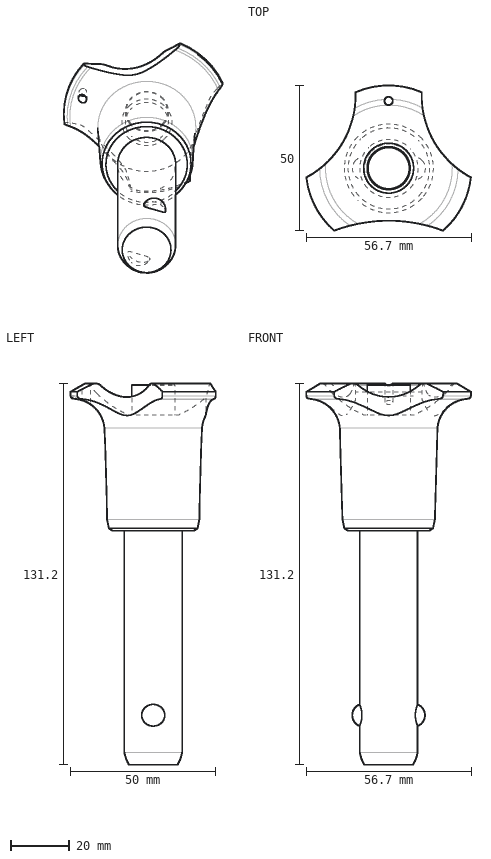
import cadquery as cq
import math

total_length = 131.2
handle_height = 50.7

shank_radius = 10.0
shank_length = total_length - handle_height
tip_radius = 8.4
tip_length = 4.3
tip_bulge = 0.25

ball_radius = 4.0
ball_reach = 12.55
ball_height_above_tip = 17.05

sleeve_bottom_radius = 14.0
sleeve_edge_radius = 15.3
sleeve_edge_height = 0.8
sleeve_foot_radius = 15.95
sleeve_foot_height = 4.0
sleeve_top_radius = 16.85
sleeve_top_depth = 15.2

flange_radius = 28.51
rim_upper_depth = 2.9
rim_lower_depth = 4.2
rim_round = 1.1
flare_end_radius = 26.5
flare_end_depth = 5.45
flare_mid_radius = 19.3
flare_mid_depth = 9.3

crest_outer_radius = 23.8
crest_outer_slope = 30.0
dish_edge_radius = 21.8
dish_edge_slope = 60.0
dish_floor_radius = 8.6
dish_floor_depth = 10.8
dish_mid_radius = 18.1
dish_mid_depth = 4.7
button_radius = 7.4
button_depth = 0.4
button_chamfer = 0.3

scallop_depth_radius = 18.1
side_scallop_direction = 30.0
side_scallop_half_angle = 36.4
front_scallop_direction = -90.0
front_scallop_half_angle = 41.0

hole_radius = 1.4
hole_offset = 23.1


def handle_z(depth):
    """Height of a point given its depth below the crest of the rim."""
    return handle_height - depth


def make_handle():
    outer_slope = math.radians(crest_outer_slope)
    dish_slope = math.radians(dish_edge_slope)
    crest_round = (crest_outer_radius - dish_edge_radius) / (math.sin(outer_slope) + math.sin(dish_slope))
    crest_top_radius = crest_outer_radius - crest_round * math.sin(outer_slope)
    crest_outer_depth = crest_round * (1 - math.cos(outer_slope))
    dish_edge_depth = crest_round * (1 - math.cos(dish_slope))

    profile = (
        cq.Workplane("XZ")
        .moveTo(0, 0)
        .lineTo(sleeve_bottom_radius, 0)
        .lineTo(sleeve_edge_radius, sleeve_edge_height)
        .lineTo(sleeve_foot_radius, sleeve_foot_height)
        .lineTo(sleeve_top_radius, handle_z(sleeve_top_depth))
        .threePointArc(
            (flare_mid_radius, handle_z(flare_mid_depth)),
            (flare_end_radius, handle_z(flare_end_depth)),
        )
        .lineTo(flange_radius - rim_round, handle_z(rim_lower_depth + rim_round))
        .radiusArc((flange_radius, handle_z(rim_lower_depth)), -rim_round)
        .lineTo(flange_radius, handle_z(rim_upper_depth))
        .lineTo(crest_outer_radius, handle_z(crest_outer_depth))
        .threePointArc((crest_top_radius, handle_height), (dish_edge_radius, handle_z(dish_edge_depth)))
        .threePointArc(
            (dish_mid_radius, handle_z(dish_mid_depth)),
            (dish_floor_radius, handle_z(dish_floor_depth)),
        )
        .lineTo(0, handle_z(dish_floor_depth))
        .close()
    )
    return profile.revolve(360, (0, 0, 0), (0, 1, 0))


def make_scallop_cutter(direction, half_angle):
    """Upright cylinder through both flange corners and the deepest point of the scallop."""
    half_chord = flange_radius * math.sin(math.radians(half_angle))
    sagitta = flange_radius * math.cos(math.radians(half_angle)) - scallop_depth_radius
    radius = (half_chord**2 + sagitta**2) / (2 * sagitta)
    cutter = cq.Workplane("XY").center(scallop_depth_radius + radius, 0).circle(radius).extrude(handle_height)
    return cutter.rotate((0, 0, 0), (0, 0, 1), direction)


def make_button():
    height = dish_floor_depth - button_depth
    button = cq.Workplane("XY").workplane(offset=handle_z(dish_floor_depth)).circle(button_radius).extrude(height)
    return button.faces(">Z").chamfer(button_chamfer)


def make_shank():
    tip_mid_radius = (shank_radius + tip_radius) / 2 + tip_bulge
    profile = (
        cq.Workplane("XZ")
        .lineTo(shank_radius, 0)
        .lineTo(shank_radius, tip_length - shank_length)
        .threePointArc((tip_mid_radius, tip_length / 2 - shank_length), (tip_radius, -shank_length))
        .lineTo(0, -shank_length)
        .close()
    )
    return profile.revolve(360, (0, 0, 0), (0, 1, 0))


def make_ball(side):
    center = (side * (ball_reach - ball_radius), 0, ball_height_above_tip - shank_length)
    return cq.Workplane("XY").sphere(ball_radius).translate(center)


def make_lanyard_hole():
    return cq.Workplane("XY").center(0, hole_offset).circle(hole_radius).extrude(handle_height)


handle = make_handle()
for direction in (side_scallop_direction, 180 - side_scallop_direction):
    handle = handle.cut(make_scallop_cutter(direction, side_scallop_half_angle))
handle = handle.cut(make_scallop_cutter(front_scallop_direction, front_scallop_half_angle))
handle = handle.cut(make_lanyard_hole())

result = handle.union(make_button()).union(make_shank())
for side in (-1, 1):
    result = result.union(make_ball(side))